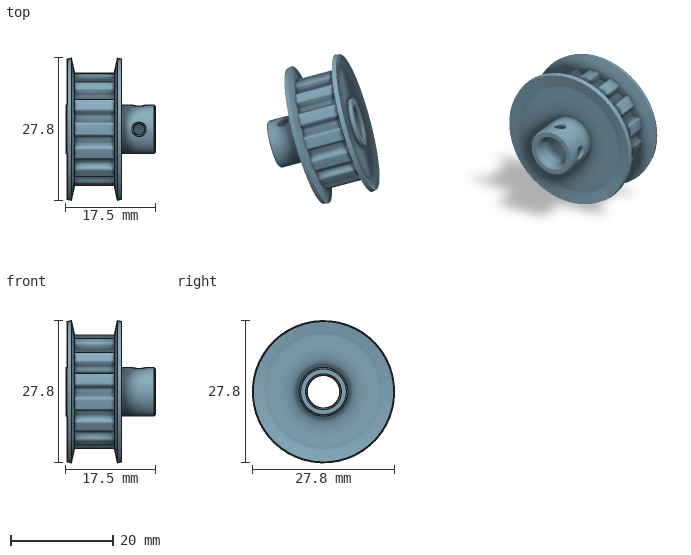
import cadquery as cq
import math

total_length = 17.48
hub_diameter = 9.525
bore_diameter = 6.35
hub_chamfer = 0.3
bore_chamfer = 0.32

flange_tip_diameter = 27.8
flange_flat_diameter = 22.5
flange_thickness = 0.85
rim_angle = math.radians(12)
first_flange_edge = 0.27
last_flange_edge = 10.9

tooth_count = 14
tooth_tip_diameter = 22.2
groove_depth = 1.435
groove_bottom_width = 1.32
flank_angle = math.radians(25)
root_fillet = 0.41
tip_fillet = 0.45

screw_hole_diameter = 2.2
screw_hole_chamfer = 0.3
screw_from_end = 3.175

tip_radius = tooth_tip_diameter / 2
root_radius = tip_radius - groove_depth


def make_hub():
    """Plain round hub, chamfered at its long end, with two screw holes a quarter turn apart."""
    hub = cq.Workplane("YZ").circle(hub_diameter / 2).extrude(total_length)
    hub = hub.faces(">X").chamfer(hub_chamfer)
    for direction in (cq.Vector(0, 0, 1), cq.Vector(0, 1, 0)):
        hub = cut_screw_hole(hub, direction)
    return hub


def cut_screw_hole(hub, direction):
    """Radial hole from inside the bore out through the hub, with its rim chamfered."""
    axis_point = cq.Vector(total_length - screw_from_end, 0, 0)
    start = axis_point + direction * (bore_diameter / 4)
    hole = cq.Solid.makeCylinder(screw_hole_diameter / 2, hub_diameter / 2, start, direction)
    drilled = hub.cut(cq.Workplane(hole))
    rim_point = axis_point + direction * (hub_diameter / 2)
    rim = drilled.edges(cq.selectors.NearestToPointSelector(rim_point.toTuple()))
    return rim.chamfer(screw_hole_chamfer)


def make_flange(outer_edge_x, inward):
    """Disc with its rim bent away from the teeth; inward is the X sign towards the teeth."""
    rim_radius_inner = flange_tip_diameter / 2
    rim_radius_outer = rim_radius_inner - flange_thickness * math.sin(rim_angle)
    flat_radius = flange_flat_diameter / 2
    bend_shift = flange_thickness * math.tan(rim_angle / 2)
    rim_depth = (rim_radius_outer - flat_radius) * math.tan(rim_angle)
    profile = [
        (rim_depth, 0),
        (rim_depth, flat_radius),
        (0, rim_radius_outer),
        (flange_thickness * math.cos(rim_angle), rim_radius_inner),
        (rim_depth + flange_thickness, flat_radius + bend_shift),
        (rim_depth + flange_thickness, 0),
    ]
    points = [(outer_edge_x + inward * depth, radius) for depth, radius in profile]
    return cq.Workplane("XY").polyline(points).close().revolve(360, (0, 0, 0), (1, 0, 0))


def make_groove(start_x, length):
    """Trapezoidal belt groove pointing along +Z, with rounded bottom corners."""
    half_bottom = groove_bottom_width / 2
    cut_height = 2 * groove_depth
    half_top = half_bottom + cut_height * math.tan(flank_angle)
    groove = (
        cq.Workplane("YZ", origin=(start_x, 0, root_radius))
        .polyline([
            (-half_bottom, 0),
            (half_bottom, 0),
            (half_top, cut_height),
            (-half_top, cut_height),
        ])
        .close()
        .extrude(length)
    )
    return groove.edges("|X and <Z").fillet(root_fillet)


def make_toothed_ring(start_x, length):
    """Toothed ring with a tooth centred on +Z and rounded tooth tips."""
    ring = cq.Workplane("YZ", origin=(start_x, 0, 0)).circle(tip_radius).extrude(length)
    pitch_angle = 360 / tooth_count
    groove = make_groove(start_x, length)
    for index in range(tooth_count):
        turn = (index + 0.5) * pitch_angle
        ring = ring.cut(groove.rotate((0, 0, 0), (1, 0, 0), turn))
    inner_limit = tip_radius - groove_depth / 4
    tip_edges = [
        edge for edge in ring.edges("|X").vals()
        if math.hypot(edge.Center().y, edge.Center().z) > inner_limit
    ]
    return ring.newObject(tip_edges).fillet(tip_fillet)


def make_bore():
    """Through bore, chamfered at both ends."""
    radius = bore_diameter / 2
    profile = [
        (0, 0),
        (0, radius + bore_chamfer),
        (bore_chamfer, radius),
        (total_length - bore_chamfer, radius),
        (total_length, radius + bore_chamfer),
        (total_length, 0),
    ]
    return cq.Workplane("XY").polyline(profile).close().revolve(360, (0, 0, 0), (1, 0, 0))


ring_start = first_flange_edge + flange_thickness
ring_length = last_flange_edge - flange_thickness - ring_start

result = make_hub()
result = result.union(make_flange(first_flange_edge, 1))
result = result.union(make_flange(last_flange_edge, -1))
result = result.union(make_toothed_ring(ring_start, ring_length))
result = result.cut(make_bore())